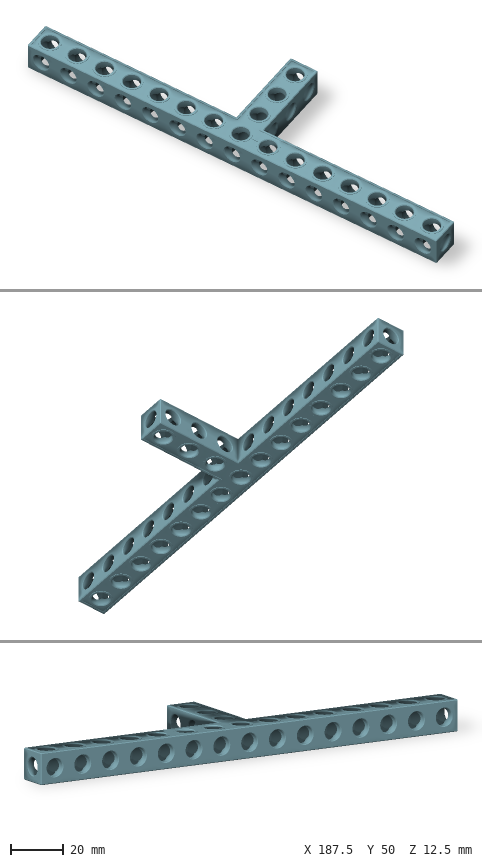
import cadquery as cq
pitch = 12.5
half = pitch / 2
beam_cells = 15
arm_cells = 3
beam_length = beam_cells * pitch
beam_end = beam_length / 2
arm_end = arm_cells * pitch + half

hole_diameter = 7.0

chamfer = 0.3

rim_width = 1.1
recess_depth = 0.2

rib_width = 0.4

beam_columns = [(i - (beam_cells - 1) / 2) * pitch for i in range(beam_cells)]
arm_rows = [(i + 1) * pitch for i in range(arm_cells)]
cell_centres = [(x, 0) for x in beam_columns] + [(0, y) for y in arm_rows]


def make_tee(inset, bottom, top):
    """T-shaped slab between two heights, set in from the full outline."""
    side = half - inset
    end = beam_end - inset
    outline = [
        (-end, -side),
        (end, -side),
        (end, side),
        (side, side),
        (side, arm_end - inset),
        (-side, arm_end - inset),
        (-side, side),
        (-end, side),
    ]
    return cq.Workplane("XY").workplane(offset=bottom).polyline(outline).close().extrude(top - bottom)


def make_core():
    """Main T-shaped body, chamfered on all edges except the two inner corners."""
    inner_corners = cq.selectors.BoxSelector((-pitch, 0, -half), (pitch, pitch, half))
    core = make_tee(0, -half, half)
    upright = core.edges("|Z").edges(cq.selectors.InverseSelector(inner_corners))
    return upright.add(core.faces("<Z or >Z").edges()).chamfer(chamfer)


def make_recess(bottom):
    """Cutter for one face's recess, keeping a round collar at each vertical hole."""
    collar_radius = hole_diameter / 2 + rim_width
    pocket = make_tee(rim_width, bottom, bottom + recess_depth)
    collars = cq.Workplane("XY").workplane(offset=bottom).pushPoints(cell_centres).circle(collar_radius)
    return pocket.cut(collars.extrude(recess_depth))


def make_rib():
    """Fine rib at recess height, from the centre hole's collar to its neighbour's."""
    collar_radius = hole_diameter / 2 + rim_width
    overlap = rim_width / 2
    length = pitch - 2 * (collar_radius - overlap)
    rib = cq.Workplane("XY").box(length, rib_width, recess_depth)
    return rib.translate((half, 0, half - recess_depth / 2))


def make_hole(start, direction, length):
    """Cutter for a through hole with a chamfered mouth at each end."""
    radius = hole_diameter / 2
    start = cq.Vector(*start)
    direction = cq.Vector(*direction)
    bore = cq.Solid.makeCylinder(radius, length, start, direction)
    near = cq.Solid.makeCone(radius + chamfer, radius, chamfer, start, direction)
    far = cq.Solid.makeCone(radius + chamfer, radius, chamfer, start + direction * length, -direction)
    return bore.fuse(near, far)


def make_holes():
    """Cutters for the holes along Z, Y and X."""
    holes = [make_hole((x, y, -half), (0, 0, 1), pitch) for x, y in cell_centres]

    for x in beam_columns:
        length = arm_end + half if x == 0 else pitch
        holes.append(make_hole((x, -half, 0), (0, 1, 0), length))

    holes.append(make_hole((-beam_end, 0, 0), (1, 0, 0), beam_length))
    for y in arm_rows:
        holes.append(make_hole((-half, y, 0), (1, 0, 0), pitch))
    return holes


top_recess = make_recess(half - recess_depth).cut(make_rib())
result = make_core().cut(top_recess).cut(make_recess(-half))
for hole in make_holes():
    result = result.cut(cq.Workplane(obj=hole))